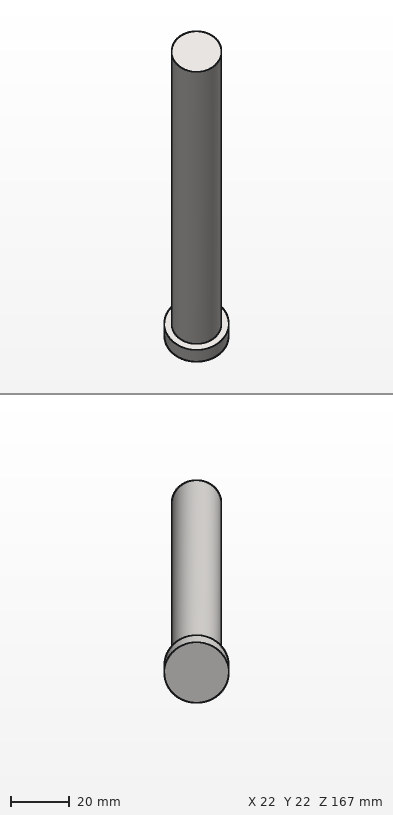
import cadquery as cq

total_length = 167.0
head_diameter = 22.0
head_height = 7.0
shank_diameter = 17.0

head = cq.Workplane("XY").circle(head_diameter / 2).extrude(head_height)
shank = cq.Workplane("XY").circle(shank_diameter / 2).extrude(total_length)

result = head.union(shank)